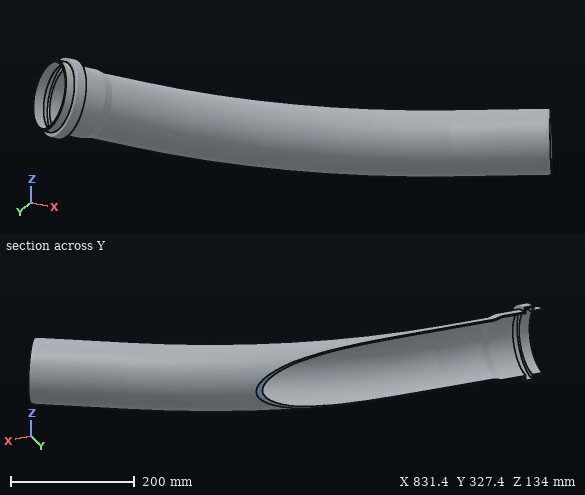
import cadquery as cq
import math


pipe_outer_radius = 110 / 2
wall = 3.4
pipe_bore_radius = pipe_outer_radius - wall

bend_angle = 30
bend_radius = 1000
straight_length = 80
spigot_length = 160

socket_bore_radius = 110.4 / 2
socket_outer_radius = socket_bore_radius + wall
socket_length = 86
taper_length = 14.5
taper_start = socket_length - taper_length

bead_outer_radius = 134 / 2
bead_start = 15
bead_width = 18
bead_round = 2
groove_radius = bead_outer_radius - wall
groove_start = bead_start + wall
groove_width = bead_width - 2 * wall

chamfer_length = 5
chamfer_angle = 15
tip_radius = pipe_outer_radius - chamfer_length * math.tan(math.radians(chamfer_angle))

turn = math.radians(bend_angle)
bend_start_x = socket_length + straight_length
bend_end = (
    bend_start_x + bend_radius * math.sin(turn),
    -bend_radius * (1 - math.cos(turn)),
    0,
)
spigot_radial_direction = (math.sin(turn), math.cos(turn), 0)
spigot_plane_normal = (0, 0, 1)


def pipe_section(x):
    """Cross-section of the pipe wall, square to the X axis at the given x."""
    plane = cq.Plane(origin=(x, 0, 0), xDir=(0, 1, 0), normal=(1, 0, 0))
    return cq.Workplane(plane).circle(pipe_outer_radius).circle(pipe_bore_radius)


def tapered_plug(mouth_radius, pipe_radius):
    """Solid cylinder from the mouth that tapers down to the pipe at the socket end."""
    return (
        cq.Workplane("XY")
        .lineTo(0, mouth_radius)
        .lineTo(taper_start, mouth_radius)
        .lineTo(socket_length, pipe_radius)
        .lineTo(socket_length, 0)
        .close()
        .revolve(360, (0, 0, 0), (1, 0, 0))
    )


def disc(start, width, radius):
    """Solid disc about the X axis."""
    return cq.Workplane("YZ", origin=(start, 0, 0)).circle(radius).extrude(width)


def make_socket():
    bead = disc(bead_start, bead_width, bead_outer_radius).edges().fillet(bead_round)
    groove = disc(groove_start, groove_width, groove_radius)
    outside = tapered_plug(socket_outer_radius, pipe_outer_radius).union(bead)
    inside = tapered_plug(socket_bore_radius, pipe_bore_radius).union(groove)
    return outside.cut(inside)


def make_straight():
    return pipe_section(socket_length).extrude(straight_length)


def make_bend():
    axis_start = (-bend_radius, 0, 0)
    axis_end = (-bend_radius, -1, 0)
    return pipe_section(bend_start_x).revolve(bend_angle, axis_start, axis_end)


def make_spigot():
    plane = cq.Plane(origin=bend_end, xDir=spigot_radial_direction, normal=spigot_plane_normal)
    return (
        cq.Workplane(plane)
        .moveTo(pipe_bore_radius, 0)
        .lineTo(pipe_outer_radius, 0)
        .lineTo(pipe_outer_radius, chamfer_length - spigot_length)
        .lineTo(tip_radius, -spigot_length)
        .lineTo(pipe_bore_radius, -spigot_length)
        .close()
        .revolve(360, (0, 0, 0), (0, 1, 0))
    )


result = make_socket().union(make_straight()).union(make_bend()).union(make_spigot())